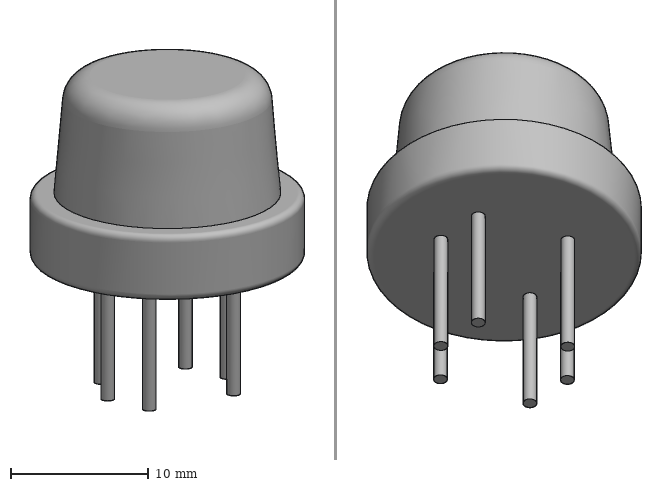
import cadquery as cq
import math

total_height = 24.0

base_diameter = 20.0
base_height = 5.0
base_edge_radius = 0.5

pin_diameter = 1.0
pin_length = 10.0
pin_circle_radius = base_diameter / 4
pin_spacing_angle = 45.0
side_centre_angles = (90.0, 270.0)

cap_height = total_height - pin_length - base_height
cap_bottom_radius = 8.25
cap_taper_angle = 5.0
cap_top_radius = cap_bottom_radius - cap_height * math.tan(math.radians(cap_taper_angle))
cap_edge_radius = 2.0


def pin_positions():
    """Centres of all six pins on the pin circle."""
    positions = []
    for centre_angle in side_centre_angles:
        for step in (-1, 0, 1):
            angle = math.radians(centre_angle + step * pin_spacing_angle)
            positions.append((pin_circle_radius * math.cos(angle), pin_circle_radius * math.sin(angle)))
    return positions


def make_base():
    """Rounded disc standing on Z = 0, with its pins hanging below as one solid."""
    disc = cq.Workplane("XY").circle(base_diameter / 2).extrude(base_height)
    disc = disc.edges("%CIRCLE").fillet(base_edge_radius)
    pins = cq.Workplane("XY").pushPoints(pin_positions()).circle(pin_diameter / 2).extrude(-pin_length)
    return disc.union(pins)


def make_cap():
    """Tapered cap with a rounded top edge, resting on the base."""
    half_profile = [
        (0, base_height),
        (cap_bottom_radius, base_height),
        (cap_top_radius, base_height + cap_height),
        (0, base_height + cap_height),
    ]
    cone = cq.Workplane("XZ").polyline(half_profile).close().revolve(360, (0, 0), (0, 1))
    return cone.faces(">Z").edges().fillet(cap_edge_radius)


base = make_base()
cap = make_cap()

result = cq.Compound.makeCompound([base.solids().val(), cap.solids().val()])